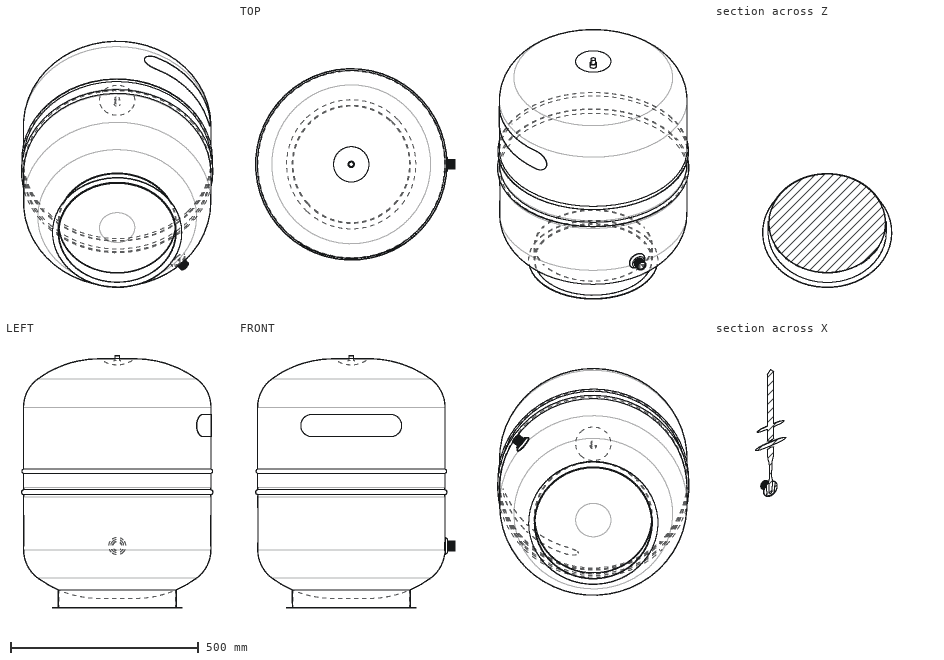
import cadquery as cq
import math

BARREL_RADIUS = 501.0 / 2
LOWER_BARREL_RADIUS = 500.0 / 2
UPPER_SHOULDER_Z = 535.0
LOWER_SHOULDER_Z = 155.5
HEAD_HEIGHT = 130.0
KNUCKLE_RADIUS = 94.0
CROWN_CENTRE_RADIUS = 47.0
DISH_DEPTH = 17.0

BEAD_Z = 365.0
BEAD_HALF_WIDTH = 5.5
BEAD_RADIUS = 254.5
SEAM_Z = 309.0
SEAM_HALF_WIDTH = 13.0
SEAM_BULGE_HALF_WIDTH = 7.0
SEAM_NECK_RADIUS = 249.0
SEAM_RADIUS = 511.0 / 2

PLATE_LENGTH = 269.0
PLATE_HEIGHT = 59.0
PLATE_Z = 487.0
PLATE_RELIEF = 1.0

BASE_OUTER_RADIUS = 315.0 / 2
BASE_INNER_RADIUS = 311.0 / 2
BASE_WALL_HEIGHT = 60.5
FLANGE_RADIUS = 345.0 / 2
FLANGE_THICKNESS = 2.0

CONNECTION_Z = 165.5
OVERALL_LENGTH = 532.0
CONNECTION_END_X = OVERALL_LENGTH - SEAM_RADIUS
COLLAR_ROOT_RADIUS = 23.0
COLLAR_TIP_RADIUS = 17.5
COLLAR_ROOT_X = 251.0
COLLAR_TIP_X = 257.0
COLLAR_SEAT_X = 246.0
THREAD_RADIUS = 13.0
THREAD_DEPTH = 1.5
THREAD_COUNT = 10

VALVE_TIP_Z = 673.0
VALVE_STEP_Z = 660.0
VALVE_TIP_RADIUS = 12.0 / 2
VALVE_BODY_RADIUS = 17.0 / 2

TANK_TOP_Z = UPPER_SHOULDER_Z + HEAD_HEIGHT
TANK_BOTTOM_Z = LOWER_SHOULDER_Z - HEAD_HEIGHT
DISH_FLOOR_Z = TANK_TOP_Z - DISH_DEPTH


def head_points(wall_radius):
    """Points (radius, height above the shoulder) of a head: knuckle middle, joint, crown middle, rim.

    The knuckle is tangent to the barrel, and the crown is tangent to the knuckle and level at its rim.
    """
    knuckle_centre = wall_radius - KNUCKLE_RADIUS
    offset = knuckle_centre - CROWN_CENTRE_RADIUS
    crown_radius = (offset**2 + HEAD_HEIGHT**2 - KNUCKLE_RADIUS**2) / (2 * (HEAD_HEIGHT - KNUCKLE_RADIUS))
    crown_centre_height = HEAD_HEIGHT - crown_radius
    joint_angle = math.atan2(-crown_centre_height, offset)
    crown_middle_angle = (joint_angle + math.pi / 2) / 2

    def on_knuckle(angle):
        return (knuckle_centre + KNUCKLE_RADIUS * math.cos(angle), KNUCKLE_RADIUS * math.sin(angle))

    def on_crown(angle):
        return (
            CROWN_CENTRE_RADIUS + crown_radius * math.cos(angle),
            crown_centre_height + crown_radius * math.sin(angle),
        )

    return (
        on_knuckle(joint_angle / 2),
        on_knuckle(joint_angle),
        on_crown(crown_middle_angle),
        (CROWN_CENTRE_RADIUS, HEAD_HEIGHT),
    )


def make_shell():
    """Solid of revolution with both heads, the dish, the bead and the seam."""
    top = [(r, UPPER_SHOULDER_Z + h) for r, h in head_points(BARREL_RADIUS)]
    bottom = [(r, LOWER_SHOULDER_Z - h) for r, h in head_points(LOWER_BARREL_RADIUS)]
    dish_sphere_radius = (CROWN_CENTRE_RADIUS**2 + DISH_DEPTH**2) / (2 * DISH_DEPTH)
    dish_middle_radius = CROWN_CENTRE_RADIUS / 2
    dish_centre_z = DISH_FLOOR_Z + dish_sphere_radius
    dish_middle_z = dish_centre_z - math.sqrt(dish_sphere_radius**2 - dish_middle_radius**2)
    return (
        cq.Workplane("XZ")
        .moveTo(0, TANK_BOTTOM_Z)
        .lineTo(*bottom[3])
        .threePointArc(bottom[2], bottom[1])
        .threePointArc(bottom[0], (LOWER_BARREL_RADIUS, LOWER_SHOULDER_Z))
        .lineTo(BARREL_RADIUS, SEAM_Z - SEAM_HALF_WIDTH)
        .lineTo(SEAM_NECK_RADIUS, SEAM_Z - SEAM_BULGE_HALF_WIDTH)
        .threePointArc((SEAM_RADIUS, SEAM_Z), (SEAM_NECK_RADIUS, SEAM_Z + SEAM_BULGE_HALF_WIDTH))
        .lineTo(BARREL_RADIUS, SEAM_Z + SEAM_HALF_WIDTH)
        .lineTo(BARREL_RADIUS, BEAD_Z - BEAD_HALF_WIDTH)
        .threePointArc((BEAD_RADIUS, BEAD_Z), (BARREL_RADIUS, BEAD_Z + BEAD_HALF_WIDTH))
        .lineTo(BARREL_RADIUS, UPPER_SHOULDER_Z)
        .threePointArc(top[0], top[1])
        .threePointArc(top[2], top[3])
        .threePointArc((dish_middle_radius, dish_middle_z), (0, DISH_FLOOR_Z))
        .close()
        .revolve(360, (0, 0, 0), (0, 1, 0))
    )


def make_name_plate():
    """Slot-shaped pad that follows the barrel on its -Y side."""
    pad_radius = BARREL_RADIUS + PLATE_RELIEF
    slot = (
        cq.Workplane("XZ")
        .center(0, PLATE_Z)
        .slot2D(PLATE_LENGTH, PLATE_HEIGHT)
        .extrude(2 * BARREL_RADIUS)
    )
    band = (
        cq.Workplane("XY", origin=(0, 0, PLATE_Z - PLATE_HEIGHT))
        .circle(pad_radius)
        .extrude(2 * PLATE_HEIGHT)
    )
    return slot.intersect(band)


def make_base_ring(tank):
    """Open ring with a thin bottom flange, trimmed where it meets the bottom head."""
    flange = cq.Workplane("XY").circle(FLANGE_RADIUS).extrude(FLANGE_THICKNESS)
    wall = cq.Workplane("XY").circle(BASE_OUTER_RADIUS).extrude(BASE_WALL_HEIGHT)
    bore = cq.Workplane("XY").circle(BASE_INNER_RADIUS).extrude(BASE_WALL_HEIGHT)
    return flange.union(wall).cut(bore).cut(tank)


def make_connection(tank):
    """Threaded stub with a tapered collar, pointing along +X and seated on the tank wall."""
    pitch = (CONNECTION_END_X - COLLAR_TIP_X) / THREAD_COUNT
    root_radius = THREAD_RADIUS - THREAD_DEPTH
    profile = (
        cq.Workplane("XZ", origin=(0, 0, CONNECTION_Z))
        .moveTo(COLLAR_SEAT_X, 0)
        .lineTo(COLLAR_SEAT_X, COLLAR_ROOT_RADIUS)
        .lineTo(COLLAR_ROOT_X, COLLAR_ROOT_RADIUS)
        .lineTo(COLLAR_TIP_X, COLLAR_TIP_RADIUS)
        .lineTo(COLLAR_TIP_X, THREAD_RADIUS)
    )
    for turn in range(THREAD_COUNT):
        start_x = COLLAR_TIP_X + turn * pitch
        profile = profile.lineTo(start_x + pitch / 2, root_radius).lineTo(start_x + pitch, THREAD_RADIUS)
    stub = profile.lineTo(CONNECTION_END_X, 0).close().revolve(360, (0, 0, 0), (1, 0, 0))
    return stub.cut(tank)


def make_valve(tank):
    """Stepped pin standing on the floor of the dish."""
    body = (
        cq.Workplane("XY", origin=(0, 0, DISH_FLOOR_Z))
        .circle(VALVE_BODY_RADIUS)
        .extrude(VALVE_STEP_Z - DISH_FLOOR_Z)
    )
    tip = (
        cq.Workplane("XY", origin=(0, 0, VALVE_STEP_Z))
        .circle(VALVE_TIP_RADIUS)
        .extrude(VALVE_TIP_Z - VALVE_STEP_Z)
    )
    return body.union(tip).cut(tank)


tank = make_shell().union(make_name_plate())
base_ring = make_base_ring(tank)
connection = make_connection(tank)
valve = make_valve(tank)

result = cq.Compound.makeCompound([tank.val(), base_ring.val(), connection.val(), valve.val()])